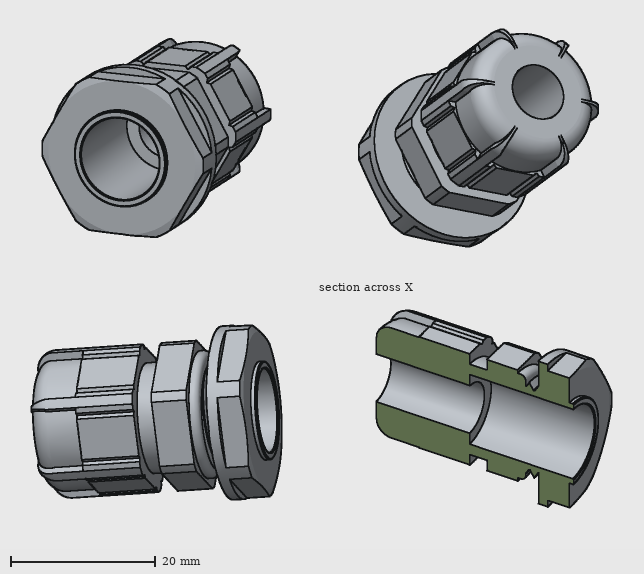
import cadquery as cq
import math


total_length = 31.82
nut_bottom = 0.7
nut_flange_bottom = 4.2
nut_top = 5.74
collar_bottom = 7.72
body_bottom = 9.04
body_top = 14.0
cap_bottom = 16.75
cap_hex_top = 24.92

stub_radius = 6.87
stub_chamfer = 0.15
thread_radius = 8.0
thread_pitch = 1.5
thread_turns = 3
thread_embed = 0.1
thread_root_fill = 0.98
bore_radius = 5.85
bore_chamfer = 0.15
cable_radius = 4.0

nut_flats = 22.0
nut_radius = 12.1
nut_chamfer_angle = 15

body_flats = 18.86
body_radius = 10.5
collar_radius = 8.9
collar_fillet = 0.9
neck_radius = 7.7

cap_radius = 10.48
cap_core_radius = 9.35
cap_fillet = 2.7
core_fillet = 2.5
rib_tip_width = 0.4
rib_blank_length = cap_radius + 1
groove_offset = 3.33
groove_depth = 0.42

corner_count = 6
corner_angle = 360 / corner_count


def cylinder(radius, bottom, top):
    return cq.Workplane("XY").workplane(offset=bottom).circle(radius).extrude(top - bottom)


def rounded_hexagon(flats, radius, bottom, top):
    """Hexagon with flats facing +-Y and corners turned down to a cylinder."""
    corner_diameter = flats / math.cos(math.radians(corner_angle / 2))
    hexagon = cq.Workplane("XY").workplane(offset=bottom).polygon(corner_count, corner_diameter)
    return hexagon.extrude(top - bottom).intersect(cylinder(radius, bottom, top))


def make_stub():
    return cylinder(stub_radius, 0, body_bottom).faces("<Z").chamfer(stub_chamfer)


def make_thread():
    """Right-hand V ridge whose ends are buried in the nut and the body."""
    height = thread_pitch * thread_turns
    start = body_bottom - height
    inner_radius = stub_radius - thread_embed
    half_root = thread_root_fill * thread_pitch / 2
    helix = cq.Wire.makeHelix(thread_pitch, height, stub_radius, center=cq.Vector(0, 0, start))
    ridge = cq.Workplane("XZ").polyline([
        (inner_radius, start - half_root),
        (thread_radius, start),
        (inner_radius, start + half_root),
    ]).close()
    return ridge.sweep(cq.Workplane(obj=helix), isFrenet=True)


def make_nut():
    flange = cylinder(nut_radius, nut_flange_bottom, nut_top)
    hexagon = rounded_hexagon(nut_flats, nut_radius, nut_bottom, nut_flange_bottom)
    face_radius = nut_flats / 2
    chamfer_width = nut_radius - face_radius
    chamfer_height = chamfer_width * math.tan(math.radians(nut_chamfer_angle))
    envelope = cylinder(nut_radius, nut_bottom, nut_top)
    envelope = envelope.faces("<Z").edges().chamfer(chamfer_height, chamfer_width)
    return hexagon.union(flange).intersect(envelope)


def make_body():
    collar = cylinder(collar_radius, collar_bottom, body_bottom).faces("<Z").edges().fillet(collar_fillet)
    hexagon = rounded_hexagon(body_flats, body_radius, body_bottom, body_top)
    neck = cylinder(neck_radius, body_top, cap_bottom)
    return collar.union(hexagon).union(neck)


def make_cap_hexagon():
    """Lower part of the cap, with two V grooves along every flat."""
    apothem = body_flats / 2
    cutter_half_width = 2 * groove_depth
    hexagon = rounded_hexagon(body_flats, cap_radius, cap_bottom, cap_hex_top)
    for corner in range(corner_count):
        for side in (-1, 1):
            centre = side * groove_offset
            groove = cq.Workplane("XY").workplane(offset=cap_bottom).polyline([
                (centre - cutter_half_width, apothem + groove_depth),
                (centre, apothem - groove_depth),
                (centre + cutter_half_width, apothem + groove_depth),
            ]).close().extrude(cap_hex_top - cap_bottom)
            hexagon = hexagon.cut(groove.rotate((0, 0, 0), (0, 0, 1), corner * corner_angle))
    return hexagon


def make_cap_ribs():
    """Ribs at the hexagon corners, narrowing over the rounded end of the cap."""
    half_flat = math.sqrt(cap_radius**2 - (body_flats / 2)**2)
    flat_half_angle = math.degrees(math.atan2(half_flat, body_flats / 2))
    half_width = cap_radius * math.sin(math.radians(corner_angle / 2 - flat_half_angle))
    half_tip = rib_tip_width / 2
    taper_start = total_length - cap_fillet
    rib = cq.Workplane("YZ").polyline([
        (-half_width, cap_bottom),
        (half_width, cap_bottom),
        (half_width, taper_start),
        (half_tip, total_length),
        (-half_tip, total_length),
        (-half_width, taper_start),
    ]).close().extrude(rib_blank_length)
    envelope = cylinder(cap_radius, cap_bottom, total_length).faces(">Z").edges().fillet(cap_fillet)
    ribs = cq.Workplane("XY")
    for corner in range(corner_count):
        ribs = ribs.union(rib.rotate((0, 0, 0), (0, 0, 1), corner * corner_angle))
    return ribs.intersect(envelope)


def make_cap():
    core = cylinder(cap_core_radius, cap_bottom, total_length).faces(">Z").edges().fillet(core_fillet)
    upper_core = core.intersect(cylinder(cap_radius, cap_hex_top, total_length))
    return upper_core.union(make_cap_hexagon()).union(make_cap_ribs())


def make_bore():
    """Wide bore from the stub end up to the cap, then the cable hole."""
    outer_radius = bore_radius + bore_chamfer
    profile = cq.Workplane("XZ").polyline([
        (0, 0),
        (outer_radius, 0),
        (bore_radius, bore_chamfer),
        (bore_radius, cap_bottom),
        (cable_radius, cap_bottom),
        (cable_radius, total_length),
        (0, total_length),
    ]).close()
    return profile.revolve(360, (0, 0, 0), (0, 1, 0))


gland = make_stub().union(make_thread())
gland = gland.union(make_nut()).union(make_body()).union(make_cap())
gland = gland.cut(make_bore())

result = gland.rotate((0, 0, 0), (1, 0, 0), -90)